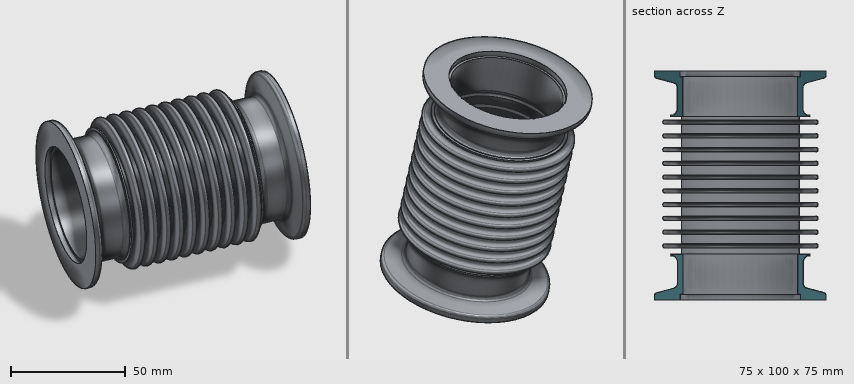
import cadquery as cq
import math

total_length = 100.0
half_length = total_length / 2

flange_radius = 75.0 / 2
tube_radius = 55.0 / 2
bore_radius = 50.0 / 2
recess_radius = 52.4 / 2
recess_depth = 2.5
rim_thickness = 3.0
cone_angle = 15.0
rim_fillet = 1.5
neck_fillet = 2.0
fitting_length = 20.0
lip_radius = 60.8 / 2
lip_thickness = 0.75
lip_shoulder = 0.25
flare_radius = 3.0
flare_sweep = math.radians(60)

bellows_length = total_length - 2 * fitting_length
root_outer_radius = 51.5 / 2
root_inner_radius = 51.2 / 2
wall = root_outer_radius - root_inner_radius
crest_radius = 68.0 / 2
convolution_count = 10
convolution_width = 2.0
convolution_pitch = bellows_length / convolution_count
first_convolution = 3.65


def round_circle(body, height, fillet_radius):
    """Fillet the circular edge centred on the Y axis at y = height."""
    margin = 0.01
    selector = cq.selectors.BoxSelector((-margin, height - margin, -margin), (margin, height + margin, margin))
    return body.edges(selector).fillet(fillet_radius)


def make_fitting():
    """End fitting with its flange face on y = 0 and its weld lip toward +Y."""
    cone_end = rim_thickness + (flange_radius - tube_radius) * math.tan(math.radians(cone_angle))
    lip_start = fitting_length - lip_thickness
    flare_end = lip_start - lip_shoulder
    flare_start = flare_end - flare_radius * math.sin(flare_sweep)
    flare_end_radius = tube_radius + flare_radius * (1 - math.cos(flare_sweep))
    flare_middle = (
        tube_radius + flare_radius * (1 - math.cos(flare_sweep / 2)),
        flare_start + flare_radius * math.sin(flare_sweep / 2),
    )
    fitting = (
        cq.Workplane("XY")
        .moveTo(recess_radius, 0)
        .lineTo(flange_radius, 0)
        .lineTo(flange_radius, rim_thickness)
        .lineTo(tube_radius, cone_end)
        .lineTo(tube_radius, flare_start)
        .threePointArc(flare_middle, (flare_end_radius, flare_end))
        .lineTo(flare_end_radius, lip_start)
        .lineTo(lip_radius, lip_start)
        .lineTo(lip_radius, fitting_length)
        .lineTo(bore_radius, fitting_length)
        .lineTo(bore_radius, recess_depth)
        .lineTo(recess_radius, recess_depth)
        .close()
        .revolve(360, (0, 0, 0), (0, 1, 0))
    )
    fitting = round_circle(fitting, rim_thickness, rim_fillet)
    return round_circle(fitting, cone_end, neck_fillet)


def corrugated_form(root_radius, tip_radius, width):
    """Solid of revolution: a plain core with a round-tipped disc at each convolution."""
    half_width = width / 2
    shoulder = tip_radius - half_width
    start = -bellows_length / 2
    outline = cq.Workplane("XY").moveTo(0, start).lineTo(root_radius, start)
    for index in range(convolution_count):
        centre = start + first_convolution + index * convolution_pitch
        outline = (
            outline.lineTo(root_radius, centre - half_width)
            .lineTo(shoulder, centre - half_width)
            .threePointArc((tip_radius, centre), (shoulder, centre + half_width))
            .lineTo(root_radius, centre + half_width)
        )
    outline = outline.lineTo(root_radius, -start).lineTo(0, -start).close()
    return outline.revolve(360, (0, 0, 0), (0, 1, 0))


def make_bellows():
    """Thin-walled bellows: the outer corrugated form less the same form offset by the wall."""
    outer = corrugated_form(root_outer_radius, crest_radius, convolution_width)
    inner = corrugated_form(root_inner_radius, crest_radius - wall, convolution_width - 2 * wall)
    return outer.cut(inner)


bellows = make_bellows()
fittings = []
for turn in (0, 180):
    placed = make_fitting().translate((0, -half_length, 0)).rotate((0, 0, 0), (0, 0, 1), turn)
    fittings.append(placed.val())

result = cq.Compound.makeCompound([bellows.val(), *fittings])